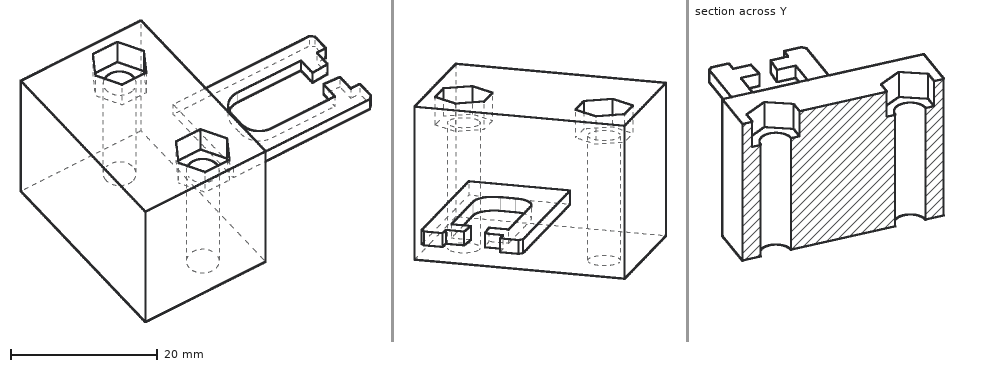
import cadquery as cq
import math

BLOCK_WIDTH = 30.0
BLOCK_HEIGHT = 22.0
OVERALL_LENGTH = 43.2
TONGUE_LENGTH = 23.2
BLOCK_DEPTH = OVERALL_LENGTH - TONGUE_LENGTH

HOLE_DIAMETER = 4.5
HOLE_SPACING = 20.0
HOLE_SETBACK = 7.0
NUT_ACROSS_FLATS = 7.0
NUT_SIDES = 6
NUT_POCKET_DEPTH = 4.0

TONGUE_WIDTH = 14.47
TONGUE_THICKNESS = 2.0
CORNER_CHAMFER = 0.5
SLOT_WIDTH = 8.15
SLOT_DEPTH = 17.65
SLOT_RADIUS = 3.0
TOOTH_SETBACK = 1.5
TOOTH_LENGTH = 2.65
TOOTH_GAP_OUTER = 2.95
TOOTH_GAP_INNER = 2.6


def make_housing():
    """Rectangular block with two through holes, each under a hexagonal nut pocket."""
    block = (
        cq.Workplane("XY")
        .box(BLOCK_WIDTH, BLOCK_DEPTH, BLOCK_HEIGHT)
        .translate((0, -BLOCK_DEPTH / 2, 0))
    )
    hole_centres = [(side * HOLE_SPACING / 2, -HOLE_SETBACK) for side in (-1, 1)]
    holes = (
        cq.Workplane("XY", origin=(0, 0, -BLOCK_HEIGHT / 2))
        .pushPoints(hole_centres)
        .circle(HOLE_DIAMETER / 2)
        .extrude(BLOCK_HEIGHT)
    )
    block = block.cut(holes)
    across_corners = NUT_ACROSS_FLATS / math.cos(math.pi / NUT_SIDES)
    for x, y in hole_centres:
        pocket = (
            cq.Workplane("XY")
            .polygon(NUT_SIDES, across_corners)
            .extrude(NUT_POCKET_DEPTH)
            .rotate((0, 0, 0), (0, 0, 1), 90)
            .translate((x, y, BLOCK_HEIGHT / 2 - NUT_POCKET_DEPTH))
        )
        block = block.cut(pocket)
    return block


def make_tooth(side):
    """Tooth reaching into the slot from the prong on the given side (-1 or 1)."""
    outer_y = TONGUE_LENGTH - TOOTH_SETBACK
    inner_y = outer_y - TOOTH_LENGTH
    return (
        cq.Workplane("XY", origin=(0, 0, -TONGUE_THICKNESS / 2))
        .moveTo(side * SLOT_WIDTH / 2, outer_y)
        .lineTo(side * TOOTH_GAP_OUTER / 2, outer_y)
        .lineTo(side * TOOTH_GAP_INNER / 2, inner_y)
        .lineTo(side * SLOT_WIDTH / 2, inner_y)
        .close()
        .extrude(TONGUE_THICKNESS)
    )


def make_tongue():
    """Flat forked tongue standing on the tongue-side (+Y) face of the housing, with a tooth on each prong."""
    tongue = (
        cq.Workplane("XY")
        .box(TONGUE_WIDTH, TONGUE_LENGTH, TONGUE_THICKNESS)
        .translate((0, TONGUE_LENGTH / 2, 0))
        .edges("|Z and >Y")
        .chamfer(CORNER_CHAMFER)
    )
    slot = (
        cq.Workplane("XY")
        .box(SLOT_WIDTH, SLOT_DEPTH, TONGUE_THICKNESS)
        .translate((0, TONGUE_LENGTH - SLOT_DEPTH / 2, 0))
        .edges("|Z and <Y")
        .fillet(SLOT_RADIUS)
    )
    tongue = tongue.cut(slot)
    for side in (-1, 1):
        tongue = tongue.union(make_tooth(side))
    return tongue


housing = make_housing()
tongue = make_tongue()

result = cq.Compound.makeCompound([housing.val(), tongue.val()])